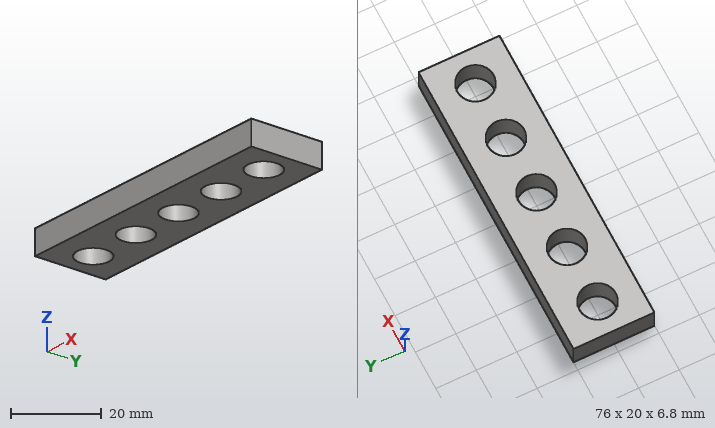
import cadquery as cq

length = 76.0
width = 20.0
thickness = 6.8

hole_count = 5
hole_diameter = 9.0
hole_pitch = 15.0

plate = cq.Workplane("XY").box(length, width, thickness)

result = (
    plate.faces(">Z")
    .workplane()
    .rarray(hole_pitch, 0.75, hole_count, 1)
    .hole(hole_diameter)
)